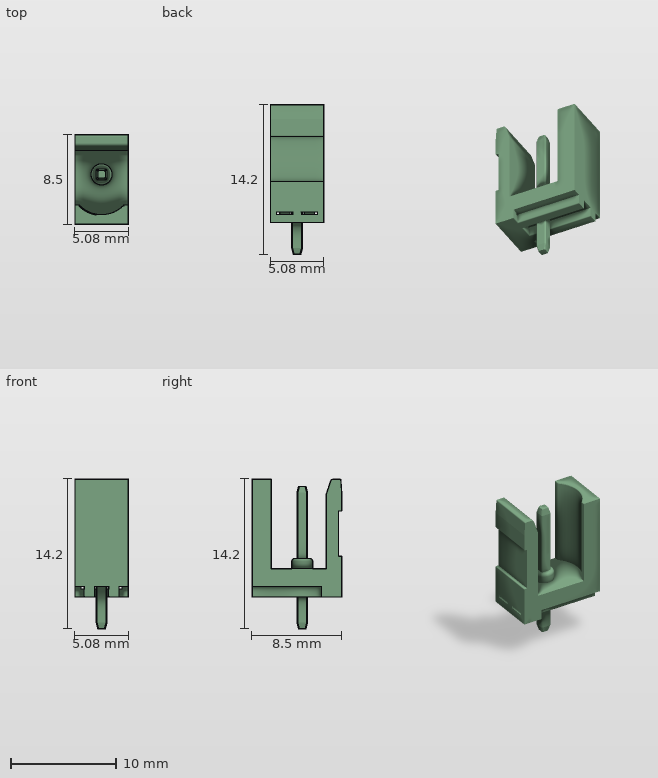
import cadquery as cq

width = 5.08
depth = 8.5
top_z = 14.2
base_z = 3.02
underside_z = 4.0
floor_z = 5.71
front_wall = 1.82
small_radius = 0.09

latch_inner_y = 7.0
latch_ramp_z = 12.74
latch_top_inner_y = 7.48
latch_top_outer_y = 8.4
latch_back_z = 12.84
latch_nose_radius = 0.28
latch_back_radius = 0.11
latch_ramp_radius = 0.28
recess_depth = 0.31
recess_bottom_z = 6.92
recess_top_z = 11.18

foot_front_y = 6.56
rib_width = 1.0
rib_offset = 1.16
opening_margin = 0.27
opening_height = 0.21

scoop_radius = 2.91
scoop_wall = 0.92

pin_y = 4.74
pin_width = 1.02
pin_chamfer = 0.09
pin_top_z = 13.52
tip_width = 0.71
tip_length = 0.61
collar_diameter = 2.0
collar_height = 1.0
collar_radius = 0.3


def box(size_x, x, y_start, y_end, z_start, z_end):
    """Box centred on x, between the given Y and Z limits."""
    block = cq.Workplane("XY").box(
        size_x, y_end - y_start, z_end - z_start, centered=(True, False, False)
    )
    return block.translate((x, y_start, z_start))


def edges_at(body, y, z):
    """Edges along X lying on the line with the given Y and Z."""
    reach = 0.007
    selector = cq.selectors.BoxSelector(
        (-width, y - reach, z - reach), (width, y + reach, z + reach)
    )
    return body.edges("|X").edges(selector)


def make_housing():
    recess_y = depth - recess_depth
    outline = [
        (0, underside_z),
        (foot_front_y, underside_z),
        (foot_front_y, base_z),
        (depth, base_z),
        (depth, recess_bottom_z),
        (recess_y, recess_bottom_z),
        (recess_y, recess_top_z),
        (depth, recess_top_z),
        (depth, latch_back_z),
        (latch_top_outer_y, top_z),
        (latch_top_inner_y, top_z),
        (latch_inner_y, latch_ramp_z),
        (latch_inner_y, floor_z),
        (front_wall, floor_z),
        (front_wall, top_z),
        (0, top_z),
    ]
    body = cq.Workplane("YZ").polyline(outline).close().extrude(width / 2, both=True)
    rounded_corners = [
        (foot_front_y, base_z, small_radius),
        (depth, recess_bottom_z, small_radius),
        (depth, recess_top_z, small_radius),
        (latch_top_outer_y, top_z, latch_back_radius),
        (latch_top_inner_y, top_z, latch_nose_radius),
        (latch_inner_y, latch_ramp_z, latch_ramp_radius),
    ]
    for y, z, radius in rounded_corners:
        body = edges_at(body, y, z).fillet(radius)
    return body


def cut_scoop(body):
    """Hollow the front wall down to the floor, then round its inner top edge."""
    scoop = (
        cq.Workplane("XY", origin=(0, scoop_wall + scoop_radius, floor_z))
        .circle(scoop_radius)
        .extrude(top_z - floor_z)
    )
    scoop = scoop.intersect(box(width, 0, 0, front_wall, floor_z, top_z))
    body = body.cut(scoop)
    inner_top = cq.selectors.BoxSelector(
        (-width, scoop_wall - small_radius, top_z - small_radius),
        (width, front_wall + small_radius, top_z + small_radius),
    )
    return body.edges(inner_top).edges("not(<Y)").fillet(small_radius)


def add_ribs(body):
    """Two ribs under the base, each facing a low opening through the foot."""
    opening_width = rib_width + 2 * opening_margin
    for x in (-rib_offset, rib_offset):
        opening = box(
            opening_width, x, foot_front_y, depth, underside_z - opening_height, underside_z
        )
        rib = box(rib_width, x, 0, foot_front_y + small_radius, base_z, underside_z)
        rib = rib.edges("|Y and <Z").fillet(small_radius)
        body = body.cut(opening).union(rib)
    return body


def make_collar():
    return (
        cq.Workplane("XY", origin=(0, pin_y, floor_z))
        .circle(collar_diameter / 2)
        .extrude(collar_height)
        .faces(">Z")
        .edges()
        .fillet(collar_radius)
    )


def pin_section(size, z):
    """Square wire with chamfered corners, centred on the pin axis."""
    half = size / 2
    flat = half - pin_chamfer
    corners = [
        (flat, -half),
        (half, -flat),
        (half, flat),
        (flat, half),
        (-flat, half),
        (-half, flat),
        (-half, -flat),
        (-flat, -half),
    ]
    points = [cq.Vector(x, pin_y + y, z) for x, y in corners]
    return cq.Wire.makePolygon(points, close=True)


def make_pin():
    stations = [
        (tip_width, 0),
        (pin_width, tip_length),
        (pin_width, pin_top_z - tip_length),
        (tip_width, pin_top_z),
    ]
    sections = [pin_section(size, z) for size, z in stations]
    return cq.Workplane(obj=cq.Solid.makeLoft(sections, True))


housing = add_ribs(cut_scoop(make_housing()))
result = housing.union(make_collar()).union(make_pin())